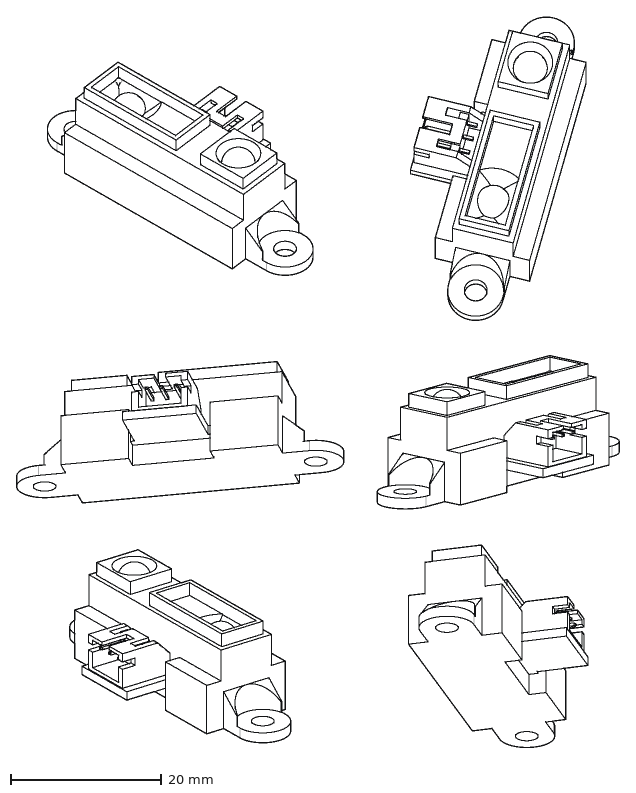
import cadquery as cq


body_length = 29.65
body_front = -6.45
body_back = 6.55
body_height = 7.1
lens_block_front = -4.2
lens_block_back = 4.2
lens_block_top = 11.65

turret_top = 13.55
turret_front = -3.4
turret_back = 3.45
receiver_turret_left = -14.0
receiver_turret_right = 2.22
turret_wall = 0.65
emitter_turret_left = 6.5
emitter_turret_right = 14.05

optical_y = (turret_front + turret_back) / 2
lens_radius = 2.25
emitter_x = 10.25
emitter_lens_z = 11.6
emitter_rim_radius = 3.0
emitter_seat_radius = 2.25
receiver_x = -9.15
receiver_lens_z = 10.15

pit_depth = 1.75
pit_taper = 54.0
pit_left = -13.55
pit_arc_start = -5.8
pit_right = -4.9
pit_half_width = 2.85
pit_corner_radius = 0.9

overall_length = 44.5
ear_radius = 3.75
ear_hole_radius = 1.5
ear_thickness = 1.45
gusset_top = 5.45
gusset_end_x = 17.75
gusset_end_z = 3.0
ear_x = overall_length / 2 - ear_radius
screw_head_radius = ear_x - body_length / 2

recess_half_width = 5.55
board_bottom = 2.95
board_top = 4.2
board_end = 12.55
tab_half_width = 5.05
tab_start = 5.47

shell_half_width = 3.83
shell_wall = 0.95
shell_plate = 0.55
shell_top = 9.25
shell_mouth = 12.35
shell_rear = 6.55
back_wall_thickness = 1.2
cheek_rear = 4.5
side_slot_end = 10.3
side_slot_bottom = 7.0
side_slot_top = 8.05
key_slot_half_width = 0.8
key_slot_end = 8.28
window_inner_x = 1.8
window_front = 9.52
cavity_half_width = shell_half_width - shell_wall
cavity_rear = shell_rear + back_wall_thickness

pin_pitch = 2.0
pin_width = 0.4
pin_z = 7.7
pin_tail = 5.2
pin_shoulder = 11.55
pin_tip = 11.85
pin_tip_width = 0.15


def box(x_min, x_max, y_min, y_max, z_min, z_max):
    """Axis-aligned block between the given limits."""
    corner = cq.Workplane("XY", origin=(x_min, y_min, z_min))
    return corner.box(x_max - x_min, y_max - y_min, z_max - z_min, centered=False)


def make_ear():
    """Right-hand mounting ear: round tab, sloping gusset and screw hole."""
    root_x = body_length / 2
    tab = (
        box(root_x, ear_x, -ear_radius, ear_radius, 0, ear_thickness)
        .union(cq.Workplane("XY").center(ear_x, 0).circle(ear_radius).extrude(ear_thickness))
    )
    gusset = (
        cq.Workplane("XZ", origin=(0, ear_radius, 0))
        .moveTo(root_x, 0)
        .lineTo(gusset_end_x, 0)
        .lineTo(gusset_end_x, gusset_end_z)
        .lineTo(root_x, gusset_top)
        .close()
        .extrude(2 * ear_radius)
    )
    screw_head_space = (
        cq.Workplane("XY", origin=(ear_x, 0, ear_thickness)).circle(screw_head_radius).extrude(gusset_top)
    )
    hole = cq.Workplane("XY").center(ear_x, 0).circle(ear_hole_radius).extrude(ear_thickness)
    return gusset.cut(screw_head_space).union(tab).cut(hole)


def make_lens(x, z):
    """Ball lens centred at the given X and Z."""
    return cq.Workplane("XY", origin=(x, optical_y, z)).sphere(lens_radius)


def make_receiver_pit():
    """Pit with sloping walls, rounded left corners and an arched right end."""
    return (
        cq.Workplane("XY", origin=(0, optical_y, lens_block_top))
        .moveTo(pit_arc_start, -pit_half_width)
        .threePointArc((pit_right, 0), (pit_arc_start, pit_half_width))
        .lineTo(pit_left + pit_corner_radius, pit_half_width)
        .radiusArc((pit_left, pit_half_width - pit_corner_radius), -pit_corner_radius)
        .lineTo(pit_left, pit_corner_radius - pit_half_width)
        .radiusArc((pit_left + pit_corner_radius, -pit_half_width), -pit_corner_radius)
        .close()
        .extrude(-pit_depth, taper=pit_taper)
    )


def make_block():
    """Plain housing block with the lens block and its two turrets."""
    half_length = body_length / 2
    block = box(-half_length, half_length, body_front, body_back, 0, body_height)
    block = block.union(
        box(-half_length, half_length, lens_block_front, lens_block_back, 0, lens_block_top)
    )
    for left, right in (
        (receiver_turret_left, receiver_turret_right),
        (emitter_turret_left, emitter_turret_right),
    ):
        block = block.union(box(left, right, turret_front, turret_back, lens_block_top, turret_top))
    return block


def make_receiver_opening():
    """Rectangular receiver window with the pit below it, trimmed to the window outline."""
    window = box(
        receiver_turret_left + turret_wall,
        receiver_turret_right - turret_wall,
        turret_front + turret_wall,
        turret_back - turret_wall,
        lens_block_top,
        turret_top,
    )
    window_shaft = window.translate((0, 0, lens_block_top - turret_top))
    return window.union(make_receiver_pit().intersect(window_shaft))


def make_emitter_funnel():
    """Conical opening that widens from the emitter lens to the turret top."""
    return (
        cq.Workplane("XY", origin=(emitter_x, optical_y, emitter_lens_z))
        .circle(emitter_seat_radius)
        .workplane(offset=turret_top - emitter_lens_z)
        .circle(emitter_rim_radius)
        .loft()
    )


def make_housing():
    """Housing with ears, turrets, lenses and the board recess."""
    housing = make_block().cut(make_receiver_opening()).cut(make_emitter_funnel())
    housing = housing.union(make_lens(receiver_x, receiver_lens_z))
    housing = housing.union(make_lens(emitter_x, emitter_lens_z))

    ear = make_ear()
    housing = housing.union(ear).union(ear.mirror("YZ"))

    recess = box(-recess_half_width, recess_half_width, lens_block_back, body_back, 0, body_height)
    return housing.cut(recess)


def make_pin(x):
    """Square contact pin with a tapered tip, running along Y."""
    half = pin_width / 2
    shank = box(x - half, x + half, pin_tail, pin_shoulder, pin_z - half, pin_z + half)
    tip = (
        cq.Workplane("XZ", origin=(x, pin_shoulder, pin_z))
        .rect(pin_width, pin_width)
        .workplane(offset=pin_shoulder - pin_tip)
        .rect(pin_tip_width, pin_tip_width)
        .loft()
    )
    return shank.union(tip)


def make_shell():
    """Connector shell, open towards +Y, with two chamfered cheeks behind its back wall."""
    shell = (
        cq.Workplane("YZ", origin=(-shell_half_width, 0, 0))
        .moveTo(cheek_rear, board_top)
        .lineTo(shell_mouth, board_top)
        .lineTo(shell_mouth, shell_top)
        .lineTo(shell_rear, shell_top)
        .lineTo(cheek_rear, shell_top - (shell_rear - cheek_rear))
        .close()
        .extrude(2 * shell_half_width)
    )
    behind = box(-cavity_half_width, cavity_half_width, cheek_rear, shell_rear, board_top, shell_top)
    cavity = box(
        -cavity_half_width,
        cavity_half_width,
        cavity_rear,
        shell_mouth,
        board_top + shell_plate,
        shell_top - shell_plate,
    )
    side_slots = box(
        -shell_half_width,
        shell_half_width,
        side_slot_end,
        shell_mouth,
        side_slot_bottom,
        side_slot_top,
    )
    plate_bottom = shell_top - shell_plate
    key_slot = box(
        -key_slot_half_width, key_slot_half_width, key_slot_end, shell_mouth, plate_bottom, shell_top
    )
    shell = shell.cut(behind).cut(cavity).cut(side_slots).cut(key_slot)

    window = box(window_inner_x, cavity_half_width, shell_rear, window_front, plate_bottom, shell_top)
    return shell.cut(window).cut(window.mirror("YZ"))


def make_board():
    """Circuit board carrying the connector shell and its three pins."""
    wide_part = box(
        -recess_half_width, recess_half_width, lens_block_back, tab_start, board_bottom, board_top
    )
    tab = box(-tab_half_width, tab_half_width, tab_start, board_end, board_bottom, board_top)
    board = wide_part.union(tab).union(make_shell())
    for position in (-1, 0, 1):
        board = board.union(make_pin(position * pin_pitch))
    return board


housing = make_housing()
board = make_board()
result = cq.Compound.makeCompound([housing.val(), board.val()])